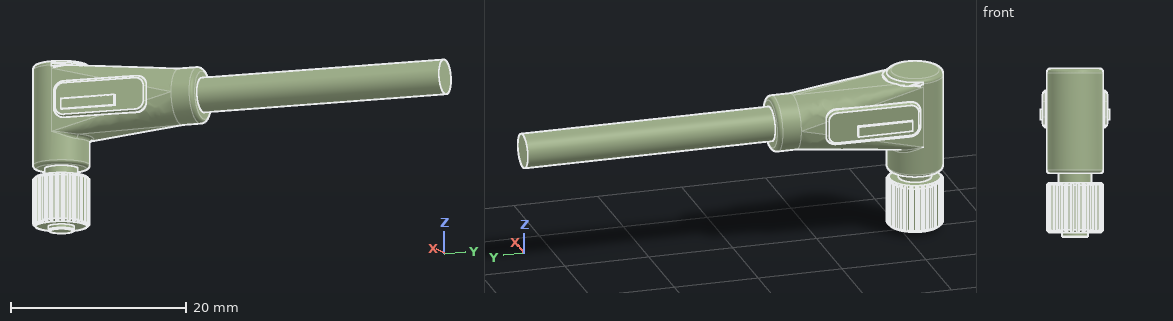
import math

import cadquery as cq


BODY_DIAMETER = 6.5
BODY_RADIUS = BODY_DIAMETER / 2
BODY_TOP = 4.68
BODY_HEIGHT = 12.0
BODY_BOTTOM = BODY_TOP - BODY_HEIGHT
TOP_FILLET = 0.5
BOTTOM_FILLET = 0.4

OVERALL_LENGTH = 50.0
CABLE_DIAMETER = 4.0
CABLE_END = OVERALL_LENGTH - BODY_RADIUS
COLLAR_START = 14.55
COLLAR_END = 17.25
COLLAR_FILLET = 0.5

ARM_TOP = 4.28
ARM_BOTTOM = -4.08
ARM_CORNER_RADIUS = 0.5
QUADRANTS = 4
ARM_LOWER_BLEND_RADIUS = 0.45
ARM_UPPER_BLEND_REACH = 0.45
ARM_UPPER_BLEND_HEIGHT = 0.65

PAD_FRONT = 0.34
PAD_LENGTH = 11.26
PAD_TOP = 2.15
PAD_HEIGHT = 4.25
PAD_CORNER_RADIUS = 1.25
PAD_EDGE_CHAMFER = 0.3
PAD_FACE_FRONT = 3.72
PAD_FACE_BACK = 3.52
PAD_INNER = 2.0

OVERALL_WIDTH = 7.95
STRIP_FRONT = 1.45
STRIP_LENGTH = 6.45
STRIP_TOP = 0.0
STRIP_HEIGHT = 1.2

OVERALL_HEIGHT = 19.3
NECK_DIAMETER = 3.8
NUT_DIAMETER = 6.5
NECK_GAP = 1.05
NUT_TOP = BODY_BOTTOM - NECK_GAP
NUT_HEIGHT = 5.7
NUT_BOTTOM = NUT_TOP - NUT_HEIGHT
NUT_CHAMFER = 0.3
KNURL_COUNT = 30
KNURL_DEPTH = 0.25
KNURL_OUTER_WIDTH = 0.4
KNURL_ROOT_WIDTH = 0.2
INSERT_DIAMETER = 3.0
INSERT_BOTTOM = BODY_TOP - OVERALL_HEIGHT
INSERT_CHAMFER = 0.15


def upright_cylinder(diameter, bottom, top):
    """Cylinder on the plug axis."""
    return cq.Workplane("XY", origin=(0, 0, bottom)).circle(diameter / 2).extrude(top - bottom)


def cable_cylinder(diameter, start, end):
    """Cylinder on the cable axis."""
    return cq.Workplane("XZ", origin=(0, start, 0)).circle(diameter / 2).extrude(start - end)


def quarter_arc(centre, radius, y, quadrant):
    """Start, middle and end of a quarter circle in the plane at y, counted from +X toward +Z."""
    angles = [math.radians(90 * quadrant + step) for step in (0, 45, 90)]
    return [
        cq.Vector(centre[0] + radius * math.cos(a), y, centre[1] + radius * math.sin(a))
        for a in angles
    ]


def ruled_arm():
    """Solid that changes from a rounded rectangle at the plug axis to the round collar."""
    corner_centres = [
        (BODY_RADIUS - ARM_CORNER_RADIUS, ARM_TOP - ARM_CORNER_RADIUS),
        (ARM_CORNER_RADIUS - BODY_RADIUS, ARM_TOP - ARM_CORNER_RADIUS),
        (ARM_CORNER_RADIUS - BODY_RADIUS, ARM_BOTTOM + ARM_CORNER_RADIUS),
        (BODY_RADIUS - ARM_CORNER_RADIUS, ARM_BOTTOM + ARM_CORNER_RADIUS),
    ]

    small_arcs = [quarter_arc(c, ARM_CORNER_RADIUS, 0, q) for q, c in enumerate(corner_centres)]
    large_arcs = [quarter_arc((0, 0), BODY_RADIUS, COLLAR_START, q) for q in range(QUADRANTS)]
    faces = []
    small_edges = []
    large_edges = []
    for quadrant in range(QUADRANTS):
        small = small_arcs[quadrant]
        large = large_arcs[quadrant]
        next_start = small_arcs[(quadrant + 1) % QUADRANTS][0]
        small_edge = cq.Edge.makeThreePointArc(*small)
        large_edge = cq.Edge.makeThreePointArc(*large)
        faces.append(cq.Face.makeRuledSurface(small_edge, large_edge))
        flat_outline = cq.Wire.makePolygon([small[2], next_start, large[2]], close=True)
        faces.append(cq.Face.makeFromWires(flat_outline))
        small_edges += [small_edge, cq.Edge.makeLine(small[2], next_start)]
        large_edges.append(large_edge)
    faces.append(cq.Face.makeFromWires(cq.Wire.assembleEdges(small_edges)))
    faces.append(cq.Face.makeFromWires(cq.Wire.assembleEdges(large_edges)))
    return cq.Workplane(cq.Solid.makeSolid(cq.Shell.makeShell(faces)).fix())


def upper_blend():
    """Conical web that leads from the top of the arm up to the rim of the barrel."""
    lower_radius = BODY_RADIUS + ARM_UPPER_BLEND_REACH
    upper_radius = BODY_RADIUS - TOP_FILLET
    cone = cq.Solid.makeCone(
        lower_radius,
        upper_radius,
        ARM_UPPER_BLEND_HEIGHT,
        pnt=cq.Vector(0, 0, BODY_TOP - ARM_UPPER_BLEND_HEIGHT),
    )
    raised_arm = ruled_arm().translate((0, 0, ARM_UPPER_BLEND_HEIGHT))
    return raised_arm.intersect(cq.Workplane(cone))


def lower_seam(body):
    """Curved edge where the underside of the arm meets the back of the barrel."""
    return body.edges("%ELLIPSE").edges("<Z")


def angled_body():
    """Upright barrel joined to the tapered arm, collar and cable."""
    barrel = upright_cylinder(BODY_DIAMETER, BODY_BOTTOM, BODY_TOP)
    barrel = barrel.faces(">Z").edges().fillet(TOP_FILLET)
    barrel = barrel.faces("<Z").edges().fillet(BOTTOM_FILLET)
    body = barrel.union(ruled_arm())
    body = body.newObject(lower_seam(body).vals()).fillet(ARM_LOWER_BLEND_RADIUS)
    collar = cable_cylinder(BODY_DIAMETER, COLLAR_START, COLLAR_END)
    collar = collar.faces(">Y").edges().fillet(COLLAR_FILLET)
    cable = cable_cylinder(CABLE_DIAMETER, COLLAR_START, CABLE_END)
    return body.union(upper_blend()).union(collar).union(cable)


def side_pad():
    """Pad on the +X side with a sloping, chamfered face, and the name strip on it."""
    centre_y = PAD_FRONT + PAD_LENGTH / 2
    centre_z = PAD_TOP - PAD_HEIGHT / 2
    slope = math.degrees(math.atan2(PAD_FACE_FRONT - PAD_FACE_BACK, PAD_LENGTH))
    face_x = (PAD_FACE_FRONT + PAD_FACE_BACK) / 2
    thickness = face_x - PAD_INNER
    pad = (
        cq.Workplane("YZ")
        .rect(PAD_LENGTH, PAD_HEIGHT)
        .extrude(-thickness)
        .edges("|X")
        .fillet(PAD_CORNER_RADIUS)
        .faces(">X")
        .edges()
        .chamfer(PAD_EDGE_CHAMFER)
        .rotate((0, 0, 0), (0, 0, 1), slope)
        .translate((face_x, centre_y, centre_z))
    )
    strip_x = OVERALL_WIDTH / 2
    strip = (
        cq.Workplane("XY")
        .box(strip_x - PAD_INNER, STRIP_LENGTH, STRIP_HEIGHT, centered=False)
        .translate((PAD_INNER, STRIP_FRONT, STRIP_TOP - STRIP_HEIGHT))
    )
    return pad.union(strip)


def knurled_nut():
    """Chamfered nut with straight trapezoidal grooves around its rim."""
    nut = upright_cylinder(NUT_DIAMETER, NUT_BOTTOM, NUT_TOP).faces("<Z or >Z").chamfer(NUT_CHAMFER)
    rim = NUT_DIAMETER / 2
    root = rim - KNURL_DEPTH
    groove = (
        cq.Workplane("XY", origin=(0, 0, NUT_BOTTOM))
        .polyline(
            [
                (root, -KNURL_ROOT_WIDTH / 2),
                (rim, -KNURL_OUTER_WIDTH / 2),
                (rim + KNURL_DEPTH, -KNURL_OUTER_WIDTH / 2),
                (rim + KNURL_DEPTH, KNURL_OUTER_WIDTH / 2),
                (rim, KNURL_OUTER_WIDTH / 2),
                (root, KNURL_ROOT_WIDTH / 2),
            ]
        )
        .close()
        .extrude(NUT_HEIGHT)
        .val()
    )
    pitch = 360 / KNURL_COUNT
    grooves = [groove.rotate((0, 0, 0), (0, 0, 1), i * pitch) for i in range(KNURL_COUNT)]
    return nut.cut(cq.Workplane(cq.Compound.makeCompound(grooves)))


def contact_insert():
    """Insert that shows below the nut."""
    insert = upright_cylinder(INSERT_DIAMETER, INSERT_BOTTOM, NUT_TOP)
    return insert.faces("<Z").chamfer(INSERT_CHAMFER)


pad = side_pad()
neck = upright_cylinder(NECK_DIAMETER, NUT_TOP, BODY_BOTTOM + BODY_RADIUS)
result = (
    angled_body()
    .union(pad)
    .union(pad.mirror("YZ"))
    .union(neck)
    .union(knurled_nut())
    .union(contact_insert())
)